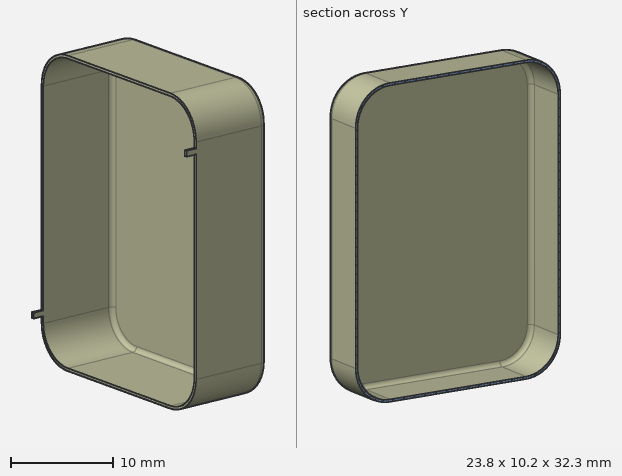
import cadquery as cq

width = 23.8
height = 32.3
depth = 9.0
wall = 0.3
corner_radius = 4.0
edge_radius = 0.8
inner_corner_radius = corner_radius - wall
inner_edge_radius = edge_radius - wall

pin_length = 1.2
pin_height = 0.6
pin_offset = 11.15


def rounded_block(size_x, size_z, size_y, outline_radius, back_radius):
    """Block from the rim plane (Y = 0) to Y = size_y, with rounded corners and back edge."""
    block = cq.Workplane("XZ").rect(size_x, size_z).extrude(-size_y)
    block = block.edges("|Y").fillet(outline_radius)
    return block.faces(">Y").edges().fillet(back_radius)


def make_shell():
    outside = rounded_block(width, height, depth, corner_radius, edge_radius)
    cavity = rounded_block(
        width - 2 * wall,
        height - 2 * wall,
        depth - wall,
        inner_corner_radius,
        inner_edge_radius,
    )
    return outside.cut(cavity)


def make_pin(side):
    """Pin on the +X wall (side = 1, upper) or the -X wall (side = -1, lower)."""
    wall_centre = (width - wall) / 2
    return (
        cq.Workplane("XZ")
        .center(side * wall_centre, side * pin_offset)
        .rect(wall, pin_height)
        .extrude(pin_length)
    )


result = make_shell()
for pin_side in (1, -1):
    result = result.union(make_pin(pin_side))